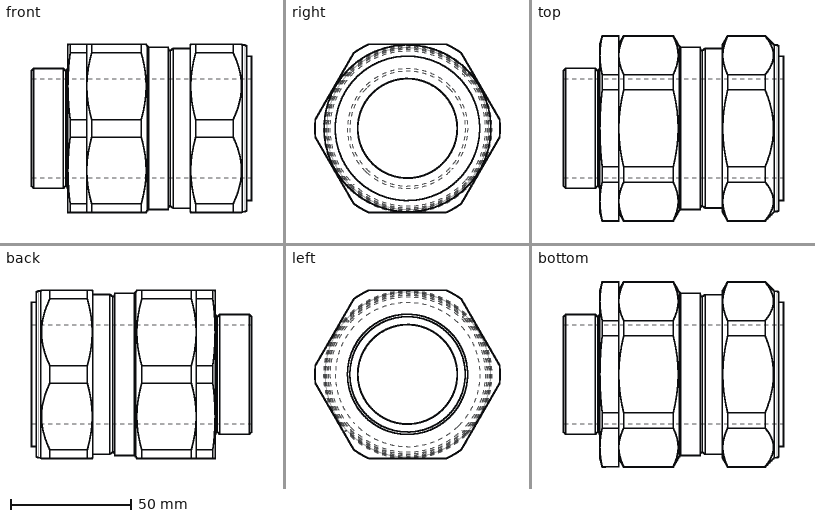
import cadquery as cq
import math

total_length = 91.5
bore_radius = 20.65

across_flats = 70.1
corner_radius = 77.07 / 2
corner_chamfer_angle = 30
flange_chamfer_angle = 15
nut_end_chamfer_angle = 45

thread_radius = 25.0
thread_end_chamfer = 1.0
thread_end = 13.2
relief_radius = 24.0
relief_start = 14.2
relief_end = 14.6

flange_start = 15.0
flange_face_radius = 34.4
body_start = 23.0
body_face_radius = 35.0
body_end = 48.1
body_end_radius = 34.3

collar_start = 48.7
collar_radius = 33.8
collar_end = 56.9

groove_shoulder_radius = 33.0
groove_bottom = 57.6
groove_radius = 32.3
sleeve_start = 58.9
sleeve_radius = 33.25

nut_start = 66.0
nut_face_radius = 34.6
nut_hex_end = 87.7
nut_rim_radius = 34.7
nut_end = 89.6
nut_rim_fillet = 1.0
seal_radius = 30.05


def revolve_profile(points):
    """Solid of revolution about X from (x, radius) points, closed along the axis."""
    closed = [(points[0][0], 0)] + points + [(points[-1][0], 0)]
    return cq.Workplane("XY").polyline(closed).close().revolve(360, (0, 0, 0), (1, 0, 0))


def chamfer_depth(face_radius, angle):
    """Axial length of a conical chamfer from face_radius out to the hexagon corners."""
    return (corner_radius - face_radius) * math.tan(math.radians(angle))


def trimmed_hexagon(start, end, start_chamfer, end_chamfer=None):
    """Hexagon with flats on +Z and -Z, its corners trimmed by a coned cylinder.

    A chamfer is a pair: radius at the end face, angle from the end face.
    """
    across_corners = across_flats / math.cos(math.pi / 6)
    prism = cq.Workplane("YZ", origin=(start, 0, 0)).polygon(6, across_corners).extrude(end - start)
    envelope = [
        (start, start_chamfer[0]),
        (start + chamfer_depth(*start_chamfer), corner_radius),
    ]
    if end_chamfer is None:
        envelope.append((end, corner_radius))
    else:
        envelope.append((end - chamfer_depth(*end_chamfer), corner_radius))
        envelope.append((end, end_chamfer[0]))
    return prism.intersect(revolve_profile(envelope))


def entry_thread():
    return revolve_profile([
        (0, thread_radius - thread_end_chamfer),
        (thread_end_chamfer, thread_radius),
        (thread_end, thread_radius),
        (relief_start, relief_radius),
        (relief_end, relief_radius),
        (flange_start, thread_radius),
        (body_start, thread_radius),
    ])


def entry_flange():
    return trimmed_hexagon(flange_start, body_start, (flange_face_radius, flange_chamfer_angle))


def body_hexagon():
    start_chamfer = (body_face_radius, corner_chamfer_angle)
    end_chamfer = (body_end_radius, corner_chamfer_angle)
    return trimmed_hexagon(body_start, body_end, start_chamfer, end_chamfer)


def collar_and_sleeve():
    return revolve_profile([
        (body_start, collar_radius),
        (body_end, collar_radius),
        (body_end, body_end_radius),
        (collar_start, collar_radius),
        (collar_end, collar_radius),
        (collar_end, groove_shoulder_radius),
        (groove_bottom, groove_radius),
        (sleeve_start, sleeve_radius),
        (nut_start, sleeve_radius),
    ])


def clamping_nut():
    start_chamfer = (nut_face_radius, corner_chamfer_angle)
    end_chamfer = (nut_rim_radius, nut_end_chamfer_angle)
    hexagon = trimmed_hexagon(nut_start, nut_hex_end, start_chamfer, end_chamfer)
    rim = cq.Workplane("YZ", origin=(nut_hex_end, 0, 0)).circle(nut_rim_radius).extrude(nut_end - nut_hex_end)
    return hexagon.union(rim.faces(">X").edges().fillet(nut_rim_fillet))


def seal_ring():
    return cq.Workplane("YZ", origin=(nut_start, 0, 0)).circle(seal_radius).extrude(total_length - nut_start)


gland = entry_thread()
for section in (entry_flange(), body_hexagon(), collar_and_sleeve(), clamping_nut(), seal_ring()):
    gland = gland.union(section)

bore = cq.Workplane("YZ").circle(bore_radius).extrude(total_length)
result = gland.cut(bore)